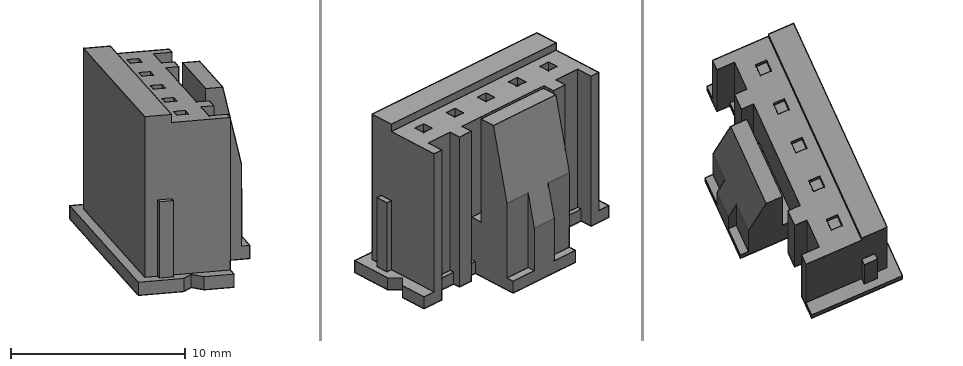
import cadquery as cq

base_length = 14.8
base_depth = 5.71
base_height = 0.8
total_depth = 8.0
total_height = 10.5

body_length = 13.2
body_front = 0.6
back_wall_y = 4.6
deck_height = 10.0
lip_back = 2.2
end_wall = 0.62

strip_back = 4.9
post_center = 3.76
post_width = 0.95
post_back = 5.37

rib_front = 1.38
rib_projection = 0.35
rib_top = 5.4

contact_count = 5
contact_pitch = 2.5
contact_size = 0.7
contact_y = 3.21
contact_depth = 0.5

latch_width = 5.0
latch_front = post_back
latch_top_back = 6.4
taper_start = 3.63
latch_shoulder_back = 7.5
tab_width = 1.6

notch_depth = 0.6
notch_y = 3.32


def box(x_min, x_max, y_min, y_max, z_min, z_max):
    """Axis-aligned block between the given limits."""
    size = (x_max - x_min, y_max - y_min, z_max - z_min)
    return cq.Workplane("XY").box(*size, centered=False).translate((x_min, y_min, z_min))


def centered_box(width, y_min, y_max, z_min, z_max, center_x=0):
    """Block of the given width about center_x."""
    return box(center_x - width / 2, center_x + width / 2, y_min, y_max, z_min, z_max)


def make_base():
    """Flange with open bays along the rear edge and a V notch at one end."""
    base = centered_box(base_length, 0, base_depth, 0, base_height)
    bays = centered_box(body_length - 2 * end_wall, strip_back, base_depth, 0, base_height)
    edge = base_length / 2
    notch = (
        cq.Workplane("XY")
        .moveTo(edge, notch_y - notch_depth)
        .lineTo(edge - notch_depth, notch_y)
        .lineTo(edge, notch_y + notch_depth)
        .close()
        .extrude(base_height)
    )
    return base.cut(bays).cut(notch)


def make_body():
    """Housing block with a front lip, two end walls and two rear posts."""
    body = centered_box(body_length, body_front, back_wall_y, 0, deck_height)
    lip = centered_box(body_length, body_front, lip_back, deck_height, total_height)
    body = body.union(lip)
    for side in (-1, 1):
        wall_x = side * (body_length - end_wall) / 2
        wall = centered_box(end_wall, back_wall_y, base_depth, 0, deck_height, wall_x)
        post = centered_box(post_width, back_wall_y, post_back, 0, deck_height, side * post_center)
        body = body.union(wall).union(post)
    return body


def make_ribs():
    """One bar across the body whose ends stand out as the guide ribs."""
    return centered_box(body_length + 2 * rib_projection, rib_front, lip_back, 0, rib_top)


def make_latch():
    """Tapered latch, stepped back beside its central tab and joined to the body at its root."""
    profile = [
        (latch_front, 0),
        (total_depth, 0),
        (total_depth, taper_start),
        (latch_top_back, total_height),
        (latch_front, total_height),
    ]
    latch = (
        cq.Workplane("YZ")
        .polyline(profile)
        .close()
        .extrude(latch_width / 2, both=True)
    )
    shoulder_width = (latch_width - tab_width) / 2
    for side in (-1, 1):
        shoulder_x = side * (latch_width - shoulder_width) / 2
        shoulder = centered_box(
            shoulder_width, latch_shoulder_back, total_depth, base_height, total_height, shoulder_x
        )
        latch = latch.cut(shoulder)
    root = centered_box(latch_width, back_wall_y, latch_front, 0, taper_start)
    return latch.union(root)


def make_contact_openings():
    """Row of shallow square pockets in the deck."""
    return (
        cq.Workplane("XY", origin=(0, contact_y, deck_height))
        .rarray(contact_pitch, 0.15, contact_count, 1)
        .rect(contact_size, contact_size)
        .extrude(-contact_depth)
    )


result = (
    make_base()
    .union(make_body())
    .union(make_ribs())
    .union(make_latch())
    .cut(make_contact_openings())
)